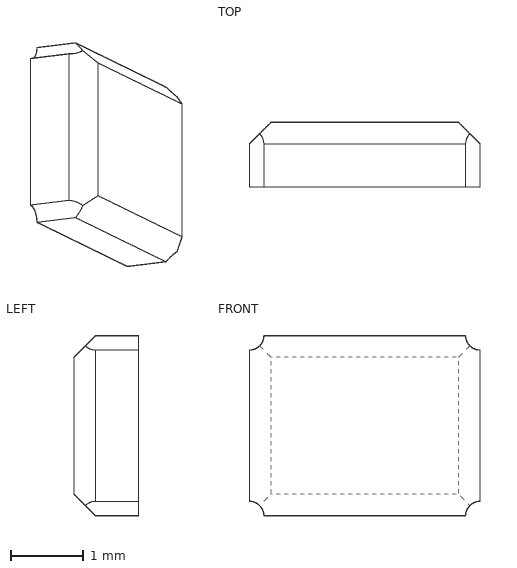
import cadquery as cq

width = 3.2
depth = 0.9
height = 2.5

back_chamfer = 0.3
corner_radius = 0.2


def chamfered_block():
    """Rectangular block with the four edges of its +Y face chamfered."""
    block = cq.Workplane("XY").box(width, depth, height)
    return block.faces(">Y").edges().chamfer(back_chamfer)


def corner_notches():
    """Cylinders along Y, centred on the four corners of the block."""
    return (
        cq.Workplane("XZ", origin=(0, depth / 2, 0))
        .rect(width, height, forConstruction=True)
        .vertices()
        .circle(corner_radius)
        .extrude(depth)
    )


result = chamfered_block().cut(corner_notches())